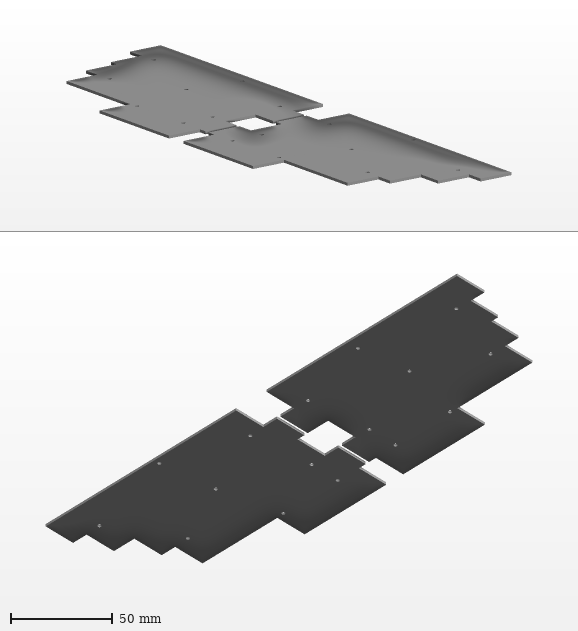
import cadquery as cq

total_length = 288.0
thickness = 1.5
hole_diameter = 2.2

steps_per_key = 4
second_row_reach = 30
gap_steps = 0.5
step = total_length / (2 * second_row_reach + gap_steps)
row_depth = steps_per_key * step

left_rows = [(0, 28), (2, second_row_reach), (3, 27), (5, 29), (16, 28)]
right_rows = [(0, 28), (2, second_row_reach), (5, 29), (7, 31), (18, 30)]

left_back_hole = 7.0
right_back_hole = 3.5
hole_shift = 0.45
behind_first_line = row_depth - hole_shift
ahead_of_first_line = row_depth + hole_shift
second_line = 2 * row_depth
behind_third_line = 3 * row_depth - hole_shift
ahead_of_third_line = 3 * row_depth + hole_shift
behind_fourth_line = 4 * row_depth - hole_shift

left_holes = [
    (16, left_back_hole),
    (4, behind_first_line),
    (26, ahead_of_first_line),
    (15, second_line),
    (7, behind_third_line),
    (25, ahead_of_third_line),
    (17, behind_fourth_line),
    (25, behind_fourth_line),
]
right_holes = [
    (16, right_back_hole),
    (4, behind_first_line),
    (26, ahead_of_first_line),
    (17, second_line),
    (9, behind_third_line),
    (27, ahead_of_third_line),
    (19, behind_fourth_line),
    (27, behind_fourth_line),
]

left_end = -total_length / 2
right_end = total_length / 2
inward_from_left = 1
inward_from_right = -1
back_edge = len(left_rows) * row_depth / 2


def stepped_outline(rows):
    """Corners of the stacked rows: down the outer ends, then back up the inner ends."""
    outer_side = []
    inner_side = []
    for row, (outer, inner) in enumerate(rows):
        back = row * row_depth
        front = back + row_depth
        outer_side += [(outer, back), (outer, front)]
        inner_side += [(inner, back), (inner, front)]
    return outer_side + inner_side[::-1]


def switch_plate(rows, holes, outer_end, inward):
    """Flat stepped plate with its screw holes, running inward from its outer end."""

    def place(points):
        return [(outer_end + inward * steps * step, back_edge - depth) for steps, depth in points]

    plate = cq.Workplane("XY").polyline(place(stepped_outline(rows))).close().extrude(thickness)
    drills = cq.Workplane("XY").pushPoints(place(holes)).circle(hole_diameter / 2).extrude(thickness)
    return plate.cut(drills)


left_plate = switch_plate(left_rows, left_holes, left_end, inward_from_left)
right_plate = switch_plate(right_rows, right_holes, right_end, inward_from_right)

result = cq.Compound.makeCompound([left_plate.val(), right_plate.val()])